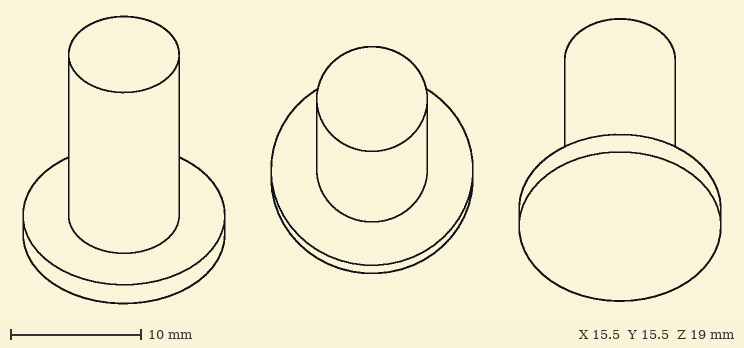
import cadquery as cq

total_height = 19.0
head_diameter = 15.5
head_thickness = 2.0
shank_diameter = 8.5

head = cq.Workplane("XY").circle(head_diameter / 2).extrude(head_thickness)

shank_length = total_height - head_thickness
result = head.faces(">Z").workplane().circle(shank_diameter / 2).extrude(shank_length)